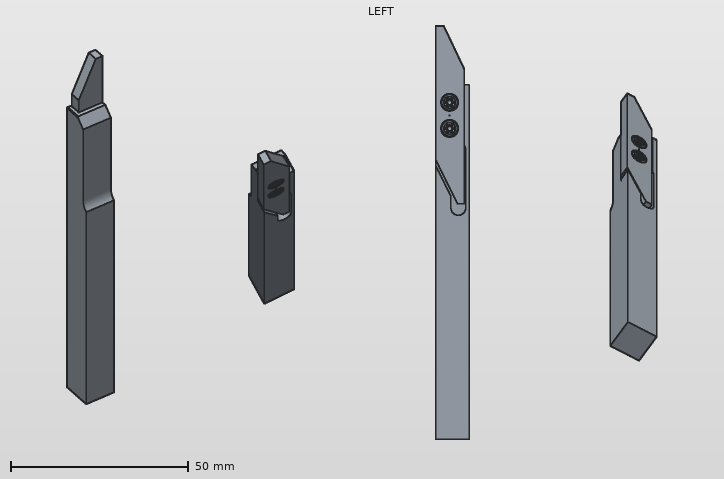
import cadquery as cq
import math

shank_side = 9.6
shank_height = 100.0

relief_depth = 1.5
relief_bottom = 68.7
relief_radius = 4.0
top_chamfer = 2.8

front_break = 0.2

total_height = 116.6
blade_recess = 0.3
blade_thickness = 3.5
blade_front = 1.4
blade_bottom = 66.5
tip_flat = 2.3
tip_rise = 12.2
tail_flat = 2.0
tail_rise = 12.5

seat_gap = 0.8
slot_width = 4.2
slot_front = 1.0
slot_bottom = 63.2
slot_top = 83.7

screw_y = 5.6
screw_heights = (87.7, 95.0)
bore_diameter = 4.9
head_diameter = 4.4
head_height = 2.3
head_chamfer_width = 0.6
head_chamfer_depth = 0.3
stem_diameter = 2.6
stem_end = 7.0
socket_core_diameter = 1.7
lobe_count = 6
lobe_diameter = 0.6
lobe_circle_radius = 0.9
socket_depth = 1.2
tip_diameter = 1.4
tip_depth = 0.3

mark_diameter = 0.1
mark_depth = 0.2

blade_back = blade_recess + blade_thickness


def plate(points, x_start, x_end):
    """Extrude an outline given as (Y, Z) points from x_start to x_end."""
    outline = cq.Workplane("YZ", origin=(x_start, 0, 0)).polyline(points).close()
    return outline.extrude(x_end - x_start)


def rod(diameter, x_start, x_end, z):
    """Round bar along X on the axis of the screw at height z."""
    return cq.Workplane("YZ", origin=(x_start, screw_y, z)).circle(diameter / 2).extrude(x_end - x_start)


def make_shank_blank():
    """Square bar with the chamfered top and the relief that runs out in an arc."""
    relief_x = shank_side - relief_depth
    arc_sweep = math.acos(1 - relief_depth / relief_radius)
    arc_top = relief_bottom + relief_radius * math.sin(arc_sweep)
    arc_middle = (
        relief_x + relief_radius * (1 - math.cos(arc_sweep / 2)),
        arc_top - relief_radius * math.sin(arc_sweep / 2),
    )
    profile = (
        cq.Workplane("XZ")
        .lineTo(shank_side, 0)
        .lineTo(shank_side, relief_bottom)
        .threePointArc(arc_middle, (relief_x, arc_top))
        .lineTo(relief_x, shank_height - top_chamfer)
        .lineTo(relief_x - top_chamfer, shank_height)
        .lineTo(0, shank_height)
        .close()
    )
    blank = profile.extrude(-shank_side)
    front_top_edge = cq.selectors.NearestToPointSelector(((relief_x - top_chamfer) / 2, 0, shank_height))
    return blank.edges(front_top_edge).chamfer(front_break)


def make_blade_seat():
    """Pocket open to the top and the +Y side, with a sloped lower wall clear of the blade."""
    slope = tail_rise / (shank_side - blade_front - tail_flat)
    seat_side_z = blade_bottom + tail_rise - seat_gap * slope
    slot_back = slot_front + slot_width
    wall_foot_z = seat_side_z - slope * (shank_side - slot_back)
    points = [
        (blade_front, wall_foot_z),
        (slot_back, wall_foot_z),
        (shank_side, seat_side_z),
        (shank_side, shank_height),
        (blade_front, shank_height),
    ]
    return plate(points, 0, blade_back)


def make_slot():
    """Upright round-ended slot under the lower end of the blade."""
    center_y = slot_front + slot_width / 2
    center_z = (slot_bottom + slot_top) / 2
    return (
        cq.Workplane("YZ", origin=(0, center_y, center_z))
        .slot2D(slot_top - slot_bottom, slot_width, 90)
        .extrude(blade_back)
    )


def make_shank():
    shank = make_shank_blank().cut(make_blade_seat()).cut(make_slot())
    for z in screw_heights:
        shank = shank.cut(rod(stem_diameter, blade_back, stem_end, z))
    return shank


def make_blade():
    tip_y = shank_side - tip_flat
    points = [
        (blade_front, blade_bottom),
        (blade_front + tail_flat, blade_bottom),
        (shank_side, blade_bottom + tail_rise),
        (shank_side, total_height),
        (tip_y, total_height),
        (blade_front, total_height - tip_rise),
    ]
    blade = plate(points, blade_recess, blade_back)
    for z in screw_heights:
        blade = blade.cut(rod(bore_diameter, blade_recess, blade_recess + head_height, z))
        blade = blade.cut(rod(stem_diameter, blade_recess, blade_back, z))
    mark_z = sum(screw_heights) / len(screw_heights)
    return blade.cut(rod(mark_diameter, blade_recess, blade_recess + mark_depth, mark_z))


def make_socket(z):
    """Six-lobed star socket: a round core with a small round lobe at every sixth of a turn."""
    socket_end = blade_recess + socket_depth
    lobes = (
        cq.Workplane("YZ", origin=(blade_recess, screw_y, z))
        .polarArray(lobe_circle_radius, 0, 360, lobe_count)
        .circle(lobe_diameter / 2)
        .extrude(socket_depth)
    )
    return rod(socket_core_diameter, blade_recess, socket_end, z).union(lobes)


def make_screw(z):
    """Screw along X: chamfered head, plain stem and a star socket with a conical bottom."""
    head = rod(head_diameter, blade_recess, blade_recess + head_height, z)
    head = head.faces("<X").chamfer(head_chamfer_depth, head_chamfer_width)
    screw = head.union(rod(stem_diameter, blade_recess + head_height, stem_end, z))
    socket = make_socket(z)
    drill_tip = cq.Solid.makeCone(
        tip_diameter / 2,
        0,
        tip_depth,
        cq.Vector(blade_recess + socket_depth, screw_y, z),
        cq.Vector(1, 0, 0),
    )
    return screw.cut(socket).cut(cq.Workplane(drill_tip))


shank = make_shank()
blade = make_blade()
screws = [make_screw(z) for z in screw_heights]

result = cq.Compound.makeCompound([shank.val(), blade.val(), *[screw.val() for screw in screws]])